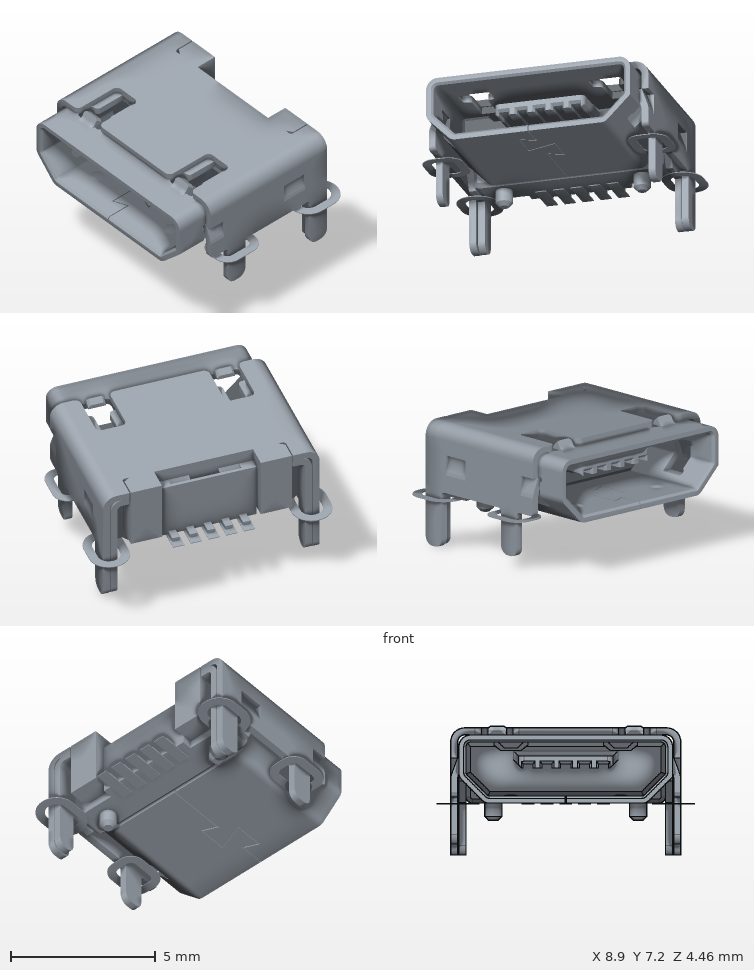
import cadquery as cq
import math


SIDES = (-1, 1)
PICK_MARGIN = 0.01

SHEET = 0.25

OUTER_HALF = 3.98
OUTER_TOP = 2.64
OUTER_FRONT = 1.2
OUTER_REAR = 6.6
OUTER_CORNER = 0.5
SKIRT_BOTTOM = 0.25
SKIRT_CORNER = 0.13
LEG_BOTTOM = -1.76
FRONT_LEG_BOTTOM = -1.37
LEG_WIDTH = 0.8
LEG_TIP_RADIUS = 0.32
LEG_ROOT_RADIUS = 0.14
FRONT_LEG_Y = 2.4

LANCE_BOTTOM = 0.89
LANCE_BEND = 1.015
LANCE_BEND_PRESS = 0.03
LANCE_TOP = 1.6
LANCE_PRESS = 0.24
REAR_LANCE_START = 4.59
REAR_LANCE_END = 5.59
FRONT_LANCE_END = 1.825

NOTCH_HALF = 1.82
NOTCH_FRONT = 5.8
LUG_BOTTOM = 0.36
SLIT_OUTER = 3.0
SLIT_WIDTH = 0.045
SLIT_TOE = 0.23
SLIT_TOE_DEPTH = 0.14

LATCH_X = 2.37
LATCH_WINDOW_WIDTH = 1.095
LATCH_WINDOW_END = 3.05
LATCH_WINDOW_CORNER = 0.2
LATCH_WINDOW_FLARE = 0.21
HOOK_WIDTH = 0.64
HOOK_TOP = 2.7
HOOK_NECK_Z = 2.53
HOOK_FRONT = 1.015
HOOK_NECK_Y = 1.25
HOOK_PEAK_Y = 1.35
HOOK_REAR = 1.55
HOOK_REAR_Z = 2.545
HOOK_CORNER = 0.08
HOOK_FOOT_SAG = 0.03
LATCH_HOLE_WIDTH = 0.59
LATCH_HOLE_FRONT = 1.21
LATCH_HOLE_STEP = 1.905
LATCH_HOLE_END = 3.115
LATCH_FOOT_WIDTH = 1.175
LATCH_FOOT_CORNER = 0.14

INNER_HALF = 3.69
INNER_TOP = OUTER_TOP - SHEET
INNER_BOTTOM = 0.04
INNER_FLOOR_HALF = 2.79
INNER_TOP_CORNER = 0.41
INNER_LOW_CORNER = 0.35
TUBE_END = 4.52
MOUTH_CHAMFER = 0.08
CAVITY_HALF = INNER_HALF - SHEET
CAVITY_TOP = INNER_TOP - SHEET
FLOOR_TOP = INNER_BOTTOM + SHEET
SIDE_BEND_Z = INNER_BOTTOM + INNER_HALF - INNER_FLOOR_HALF
CHEEK_BOTTOM = 0.05
CHEEK_START = 4.89
INNER_LEG_START = 5.91
INNER_LEG_TIP_RADIUS = 0.34

WINDOW_FRONT = 1.15
WINDOW_END = 1.96
WINDOW_BOTTOM = 0.5
WINDOW_TOP = 1.64
WINDOW_EAR = 0.1
LANCE_CLEARANCE = 0.09

SEAM_GAP = 0.04
SEAM_MIDDLE = 1.6
SEAM_HALF_WIDTH = 0.53
SEAM_TIP = 0.2
SEAM_SHOULDER = 0.89
SEAM_NECK = 0.67
DIMPLE_X = 1.9
DIMPLE_Y = 1.2
DIMPLE_RADIUS = 0.27
DIMPLE_TOP_RADIUS = 0.09
DIMPLE_HEIGHT = 0.04

BLOCK_FRONT = 3.2
INSULATOR_REAR = 6.18
INSULATOR_CHAMFER = 0.15
REAR_BLOCK_LOW_CORNER = 0.22
PEG_X = 2.5
PEG_Y = 5.16
PEG_RADIUS = 0.3
PEG_BOTTOM = -0.56
PEG_CHAMFER = 0.14

TONGUE_FRONT = 1.25
TONGUE_HALF = 1.63
TONGUE_BOTTOM = 1.25
TONGUE_TOP = 1.66
TONGUE_TIP_CORNER = 0.19
TONGUE_LOW_CHAMFER = 0.11
TONGUE_ROOT_FILLET = 0.18

CONTACT_COUNT = 5
CONTACT_PITCH = 0.65
GROOVE_WIDTH = 0.35
GROOVE_CEILING = 1.39
GROOVE_FLARE = 0.06
GROOVE_LEAD = 0.1
TAIL_WIDTH = 0.27
TAIL_TOP = 0.18
PAD_WIDTH = 0.41
PAD_START = 5.52
PAD_END = 6.89
PAD_THICKNESS = 0.03

GROOVE_X = DIMPLE_X
LOBE_HALF = 0.59
LOBE_FLAT_HALF = 0.35
LOBE_SHOULDER_Z = 2.05
LOBE_BOTTOM = 1.85
LOBE_DEPTH = 0.71
KEY_HALF = 0.44
KEY_FLAT_HALF = 0.22
KEY_BOTTOM = 1.94
KEY_DEPTH = 1.25

RECESS_HALF = 1.3
RECESS_END = 6.05
RECESS_RAMP_DEPTH = 0.13
RECESS_MIDDLE_HALF = 0.54
RECESS_MIDDLE_DEPTH = 0.31
RECESS_FILLET = 0.15

RING_X = 3.72
RING_WIDTH = 1.46
RING_WALL = 0.32
RING_THICKNESS = PAD_THICKNESS
REAR_RING_Y = 6.21
REAR_RING_LENGTH = 1.98
REAR_RING_CORNER = 0.72
FRONT_RING_LENGTH = 1.82
FRONT_RING_CORNER = 0.55


def box(x0, x1, y0, y1, z0, z1):
    """Axis-aligned block between opposite corners."""
    return cq.Workplane("XY").box(x1 - x0, y1 - y0, z1 - z0, centered=False).translate((x0, y0, z0))


def prism_y(points, y0, y1):
    """Polygon in (x, z), extruded from y0 to y1."""
    return cq.Workplane("XZ", origin=(0, y0, 0)).polyline(points).close().extrude(y0 - y1)


def prism_x(points, x0, x1):
    """Polygon in (y, z), extruded from x0 to x1."""
    return cq.Workplane("YZ", origin=(x0, 0, 0)).polyline(points).close().extrude(x1 - x0)


def prism_z(points, z0, z1):
    """Polygon in (x, y), extruded from z0 to z1."""
    return cq.Workplane("XY", origin=(0, 0, z0)).polyline(points).close().extrude(z1 - z0)


def arch(half, top, bottom, corner, y0, y1):
    """Block with its two long top edges rounded."""
    return box(-half, half, y0, y1, bottom, top).edges("|Y and >Z").fillet(corner)


def mirrored(points):
    """Copy of (x, ...) points on the other side of the YZ plane."""
    return [(-x, other) for x, other in points]


def leg(y0, y1, x0, x1, top, bottom, tip_radius):
    """Leg with a rounded tip."""
    return box(x0, x1, y0, y1, bottom, top).edges("|X and <Z").fillet(tip_radius)


def flared_leg(y0, y1, bottom):
    """Leg of the outer shell on the +X side, with rounded roots where it leaves the skirt."""
    inner = OUTER_HALF - SHEET
    flared = leg(y0, y1, inner, OUTER_HALF, SKIRT_BOTTOM, bottom, LEG_TIP_RADIUS)
    reach = LEG_ROOT_RADIUS
    for edge, direction in ((y0, -1), (y1, 1)):
        root = (
            cq.Workplane("YZ", origin=(inner, 0, 0))
            .moveTo(edge, SKIRT_BOTTOM)
            .lineTo(edge + direction * reach, SKIRT_BOTTOM)
            .radiusArc((edge, SKIRT_BOTTOM - reach), direction * -reach)
            .close()
            .extrude(SHEET)
        )
        if edge + direction * reach < OUTER_REAR:
            flared = flared.union(root)
    return flared


def lance_opening(y0, y1):
    """Hole in the +X side wall that a lance is pressed out of."""
    return box(OUTER_HALF - SHEET, OUTER_HALF, y0, y1, LANCE_BOTTOM, LANCE_TOP)


def lance(y0, y1):
    """Strip of the +X side wall that leans inward toward its free upper end."""
    inner = OUTER_HALF - SHEET
    section = [
        (OUTER_HALF, LANCE_BOTTOM),
        (OUTER_HALF - LANCE_BEND_PRESS, LANCE_BEND),
        (OUTER_HALF - LANCE_PRESS, LANCE_TOP),
        (inner - LANCE_PRESS, LANCE_TOP),
        (inner - LANCE_BEND_PRESS, LANCE_BEND),
        (inner, LANCE_BOTTOM),
    ]
    return prism_y(section, y0, y1)


def latch_window(x):
    """Roof cutout, open to the front, that the latch hook stands in."""
    half = LATCH_WINDOW_WIDTH / 2
    flare = LATCH_WINDOW_FLARE
    window = box(x - half, x + half, OUTER_FRONT - flare, LATCH_WINDOW_END, INNER_TOP, OUTER_TOP)
    window = window.edges("|Z and >Y").fillet(LATCH_WINDOW_CORNER)
    mouth = (
        cq.Workplane("XY", origin=(x, OUTER_FRONT, INNER_TOP))
        .moveTo(-half - flare, 0)
        .radiusArc((-half, flare), -flare)
        .lineTo(half, flare)
        .radiusArc((half + flare, 0), -flare)
        .close()
        .extrude(SHEET)
    )
    return window.union(mouth)


def rear_slit(side):
    """Slit with a slanted toe that parts a rear lug from the side wall."""
    inner = SLIT_OUTER - SLIT_WIDTH
    outline = [
        (SLIT_OUTER, OUTER_REAR),
        (SLIT_OUTER, NOTCH_FRONT + SLIT_TOE_DEPTH / 2),
        (SLIT_OUTER - SLIT_TOE_DEPTH / 2, NOTCH_FRONT),
        (inner - SLIT_TOE, NOTCH_FRONT),
        (inner, NOTCH_FRONT + SLIT_TOE_DEPTH),
        (inner, OUTER_REAR),
    ]
    return prism_z([(side * x, y) for x, y in outline], LUG_BOTTOM, OUTER_TOP)


def make_outer_shell():
    shell = arch(OUTER_HALF, OUTER_TOP, SKIRT_BOTTOM, OUTER_CORNER, OUTER_FRONT, OUTER_REAR)
    shell = shell.edges("|X and <Y and <Z").fillet(SKIRT_CORNER)
    shell = shell.cut(
        arch(OUTER_HALF - SHEET, INNER_TOP, SKIRT_BOTTOM, OUTER_CORNER - SHEET, OUTER_FRONT, OUTER_REAR)
    )

    side_parts = flared_leg(OUTER_REAR - LEG_WIDTH, OUTER_REAR, LEG_BOTTOM)
    front_leg_start = FRONT_LEG_Y - LEG_WIDTH / 2
    side_parts = side_parts.union(
        flared_leg(front_leg_start, front_leg_start + LEG_WIDTH, FRONT_LEG_BOTTOM)
    )
    for y0, y1 in ((OUTER_FRONT, FRONT_LANCE_END), (REAR_LANCE_START, REAR_LANCE_END)):
        opening = lance_opening(y0, y1)
        shell = shell.cut(opening).cut(opening.mirror("YZ"))
        side_parts = side_parts.union(lance(y0, y1))
    lug = box(NOTCH_HALF, SLIT_OUTER - SLIT_WIDTH, NOTCH_FRONT, OUTER_REAR, LUG_BOTTOM, INNER_TOP)

    for part in (side_parts, lug):
        shell = shell.union(part).union(part.mirror("YZ"))
    shell = shell.cut(box(-NOTCH_HALF, NOTCH_HALF, NOTCH_FRONT, OUTER_REAR, INNER_TOP, OUTER_TOP))
    for side in SIDES:
        shell = shell.cut(latch_window(side * LATCH_X)).cut(rear_slit(side))
    return shell


def sharp_mouth(y0, y1, inset):
    """Hexagonal prism of the mouth, shrunk by inset all round."""
    slope_shift = inset * math.tan(math.pi / 8)
    half = INNER_HALF - inset
    right = [
        (INNER_FLOOR_HALF - slope_shift, INNER_BOTTOM + inset),
        (half, SIDE_BEND_Z + slope_shift),
        (half, INNER_TOP - inset),
    ]
    return prism_y(right + mirrored(right)[::-1], y0, y1)


def round_mouth(y0, y1, inset):
    """Mouth prism with its corners rounded; the corner radii shrink with the inset too."""
    prism = sharp_mouth(y0, y1, inset)
    prism = prism.edges("|Y and >Z").fillet(INNER_TOP_CORNER - inset)
    low_corners = cq.selectors.BoxSelector(
        (-INNER_HALF, y0, INNER_BOTTOM), (INNER_HALF, y1, SIDE_BEND_Z + SHEET)
    )
    return prism.edges("|Y").edges(low_corners).fillet(INNER_LOW_CORNER - inset)


def latch_hook(x):
    """Ramped hook on the roof, with a concave front foot."""
    half = HOOK_WIDTH / 2
    hook = (
        cq.Workplane("YZ", origin=(x - half, 0, 0))
        .moveTo(HOOK_FRONT, INNER_TOP)
        .threePointArc(
            ((HOOK_FRONT + HOOK_NECK_Y) / 2 + HOOK_FOOT_SAG, (INNER_TOP + HOOK_NECK_Z) / 2 - HOOK_FOOT_SAG),
            (HOOK_NECK_Y, HOOK_NECK_Z),
        )
        .lineTo(HOOK_PEAK_Y, HOOK_TOP)
        .lineTo(HOOK_REAR, HOOK_REAR_Z)
        .lineTo(HOOK_REAR, INNER_TOP)
        .close()
        .extrude(HOOK_WIDTH)
    )
    ramp_middle = (x, (HOOK_PEAK_Y + HOOK_REAR) / 2, (HOOK_TOP + HOOK_REAR_Z) / 2)
    ramp = hook.faces(cq.selectors.NearestToPointSelector(ramp_middle))
    return ramp.edges("not |X").chamfer(HOOK_CORNER)


def latch_hole(x):
    """T-shaped hole through the roof, wide at the front, under the latch hook."""
    half = LATCH_HOLE_WIDTH / 2
    foot_half = LATCH_FOOT_WIDTH / 2
    stem = box(x - half, x + half, LATCH_HOLE_STEP, LATCH_HOLE_END, CAVITY_TOP, INNER_TOP)
    foot = box(x - foot_half, x + foot_half, LATCH_HOLE_FRONT, LATCH_HOLE_STEP, CAVITY_TOP, INNER_TOP)
    hole = stem.union(foot.edges("|Z").fillet(LATCH_FOOT_CORNER))
    inner_corners = cq.selectors.BoxSelector(
        (x - half - PICK_MARGIN, LATCH_HOLE_STEP - PICK_MARGIN, CAVITY_TOP),
        (x + half + PICK_MARGIN, LATCH_HOLE_STEP + PICK_MARGIN, INNER_TOP),
    )
    return hole.edges("|Z").edges(inner_corners).fillet(LATCH_FOOT_CORNER)


def seam_pieces():
    """Straight pieces of the narrow dovetail gap along the floor."""
    path = [
        (0, 0),
        (0, SEAM_MIDDLE - SEAM_NECK),
        (-SEAM_HALF_WIDTH, SEAM_MIDDLE - SEAM_SHOULDER),
        (-SEAM_HALF_WIDTH, SEAM_MIDDLE + SEAM_TIP),
        (SEAM_HALF_WIDTH, SEAM_MIDDLE - SEAM_TIP),
        (SEAM_HALF_WIDTH, SEAM_MIDDLE + SEAM_SHOULDER),
        (0, SEAM_MIDDLE + SEAM_NECK),
        (0, TUBE_END),
    ]
    pieces = []
    for (x0, y0), (x1, y1) in zip(path, path[1:]):
        length = math.hypot(x1 - x0, y1 - y0)
        angle = math.degrees(math.atan2(y1 - y0, x1 - x0))
        piece = (
            cq.Workplane("XY")
            .box(length + SEAM_GAP, SEAM_GAP, SHEET)
            .rotate((0, 0, 0), (0, 0, 1), angle)
            .translate(((x0 + x1) / 2, (y0 + y1) / 2, INNER_BOTTOM + SHEET / 2))
        )
        pieces.append(piece)
    return pieces


def lance_windows():
    """Openings through both side walls that the lances reach into."""
    window = box(-INNER_HALF, INNER_HALF, WINDOW_FRONT, WINDOW_END, WINDOW_BOTTOM, WINDOW_TOP)
    for z in (WINDOW_BOTTOM + WINDOW_EAR, WINDOW_TOP - WINDOW_EAR):
        ear = (
            cq.Workplane("YZ", origin=(-INNER_HALF, 0, 0))
            .center(WINDOW_FRONT, z)
            .circle(WINDOW_EAR)
            .extrude(2 * INNER_HALF)
        )
        window = window.union(ear)
    rear = box(
        -INNER_HALF,
        INNER_HALF,
        REAR_LANCE_START - LANCE_CLEARANCE,
        REAR_LANCE_END + LANCE_CLEARANCE,
        LANCE_BOTTOM - LANCE_CLEARANCE,
        LANCE_TOP + LANCE_CLEARANCE,
    )
    return window.union(rear)


def rear_cheeks():
    """Roof and side walls behind the mouth tube, with the inner rear legs."""
    hood = arch(INNER_HALF, INNER_TOP, CHEEK_BOTTOM, INNER_TOP_CORNER, TUBE_END, OUTER_REAR)
    hood = hood.cut(
        arch(CAVITY_HALF, CAVITY_TOP, CHEEK_BOTTOM, INNER_TOP_CORNER - SHEET, TUBE_END, OUTER_REAR)
    )
    front_slope = [(TUBE_END, CHEEK_BOTTOM), (TUBE_END, SIDE_BEND_Z), (CHEEK_START, CHEEK_BOTTOM)]
    hood = hood.cut(prism_x(front_slope, -INNER_HALF, INNER_HALF))
    hood = hood.cut(box(-SLIT_OUTER, SLIT_OUTER, NOTCH_FRONT, OUTER_REAR, CAVITY_TOP, INNER_TOP))
    rear_leg = leg(
        INNER_LEG_START, OUTER_REAR, CAVITY_HALF, INNER_HALF, CHEEK_BOTTOM, LEG_BOTTOM, INNER_LEG_TIP_RADIUS
    )
    return hood.union(rear_leg).union(rear_leg.mirror("YZ"))


def make_inner_shell():
    cavity = round_mouth(0, TUBE_END, SHEET)
    shell = round_mouth(0, TUBE_END, 0).cut(cavity)
    cavity_rim = shell.faces("<Y").val().innerWires()[0].Edges()
    shell = shell.newObject(cavity_rim).chamfer(MOUTH_CHAMFER)
    shell = shell.union(rear_cheeks()).cut(lance_windows())
    for piece in seam_pieces():
        shell = shell.cut(piece)
    for side in SIDES:
        shell = shell.cut(latch_hole(side * LATCH_X))
        dimple = cq.Solid.makeCone(
            DIMPLE_RADIUS, DIMPLE_TOP_RADIUS, DIMPLE_HEIGHT, cq.Vector(side * DIMPLE_X, DIMPLE_Y, FLOOR_TOP)
        )
        shell = shell.union(latch_hook(side * LATCH_X)).union(cq.Workplane(dimple))
    return shell


def contact_positions():
    first = -CONTACT_PITCH * (CONTACT_COUNT - 1) / 2
    return [first + i * CONTACT_PITCH for i in range(CONTACT_COUNT)]


def contact_groove(x):
    """Groove under the tongue with a flared lead-in at its tip."""
    half = GROOVE_WIDTH / 2
    groove = box(x - half, x + half, TONGUE_FRONT, BLOCK_FRONT, TONGUE_BOTTOM, GROOVE_CEILING)
    height = GROOVE_CEILING - TONGUE_BOTTOM
    lead = (
        cq.Workplane("XZ", origin=(x, TONGUE_FRONT, TONGUE_BOTTOM))
        .center(0, (height + GROOVE_LEAD) / 2)
        .rect(GROOVE_WIDTH + 2 * GROOVE_FLARE, height + GROOVE_LEAD)
        .workplane(offset=-GROOVE_LEAD)
        .center(0, -GROOVE_LEAD / 2)
        .rect(GROOVE_WIDTH, height)
        .loft()
    )
    return groove.union(lead)


def make_tongue():
    """Plain tongue, run into the block behind it."""
    tongue = box(-TONGUE_HALF, TONGUE_HALF, TONGUE_FRONT, TUBE_END, TONGUE_BOTTOM, TONGUE_TOP)
    tongue = tongue.edges("|Y and <Z").chamfer(TONGUE_LOW_CHAMFER)
    return tongue.edges("|Z and <Y").fillet(TONGUE_TIP_CORNER)


def fillet_tongue_root(body):
    """Round the top and the ends of the tongue into the face of the block."""
    root = cq.selectors.BoxSelector(
        (-TONGUE_HALF - PICK_MARGIN, BLOCK_FRONT - PICK_MARGIN, TONGUE_BOTTOM + TONGUE_LOW_CHAMFER),
        (TONGUE_HALF + PICK_MARGIN, BLOCK_FRONT + PICK_MARGIN, TONGUE_TOP + PICK_MARGIN),
    )
    return body.edges(root).fillet(TONGUE_ROOT_FILLET)


def rear_block():
    """Full-width rear body, narrowed to the notch between the shell's lugs."""
    block = arch(
        CAVITY_HALF, CAVITY_TOP, INNER_BOTTOM, INNER_TOP_CORNER - SHEET, TUBE_END, NOTCH_FRONT
    )
    block = block.edges("|Y and <Z").fillet(REAR_BLOCK_LOW_CORNER)
    block = block.faces("<Y").chamfer(INSULATOR_CHAMFER)
    return block.union(
        box(-NOTCH_HALF, NOTCH_HALF, NOTCH_FRONT, INSULATOR_REAR, INNER_BOTTOM, CAVITY_TOP)
    )


def top_groove(x, half_section, length):
    """Symmetric groove in the top of the front block, also trimming the tongue in front of it."""
    section = half_section + mirrored(half_section)[::-1]
    return prism_y(section, TONGUE_FRONT, BLOCK_FRONT + length).translate((x, 0, 0))


def rear_recess():
    """Two ramps with a deeper rounded channel between them."""
    ramps = prism_x(
        [
            (NOTCH_FRONT, CAVITY_TOP),
            (RECESS_END, CAVITY_TOP),
            (RECESS_END, CAVITY_TOP - RECESS_RAMP_DEPTH),
        ],
        -RECESS_HALF,
        RECESS_HALF,
    )
    channel = box(
        -RECESS_MIDDLE_HALF,
        RECESS_MIDDLE_HALF,
        NOTCH_FRONT,
        RECESS_END,
        CAVITY_TOP - RECESS_MIDDLE_DEPTH,
        CAVITY_TOP,
    )
    return ramps.union(channel.edges("|Y and <Z").fillet(RECESS_FILLET))


def make_peg(x):
    height = INNER_BOTTOM - PEG_BOTTOM
    peg = cq.Workplane("XY", origin=(x, PEG_Y, PEG_BOTTOM)).circle(PEG_RADIUS).extrude(height)
    return peg.faces("<Z").chamfer(PEG_CHAMFER)


def contact_tail(x):
    """Tail leaving the rear of the insulator, standing on a thin wider foot."""
    tail_half = TAIL_WIDTH / 2
    pad_half = PAD_WIDTH / 2
    tail = box(x - tail_half, x + tail_half, PAD_START, OUTER_REAR, PAD_THICKNESS, TAIL_TOP)
    return tail.union(box(x - pad_half, x + pad_half, PAD_START, PAD_END, 0, PAD_THICKNESS))


def make_insulator():
    front_block = sharp_mouth(BLOCK_FRONT, TUBE_END, SHEET).faces("<Y").chamfer(INSULATOR_CHAMFER)
    front_block = front_block.intersect(round_mouth(BLOCK_FRONT, TUBE_END, SHEET))
    body = fillet_tongue_root(front_block.union(make_tongue())).union(rear_block())
    for x in contact_positions():
        body = body.cut(contact_groove(x))
    lobe = [(LOBE_HALF, CAVITY_TOP), (LOBE_HALF, LOBE_SHOULDER_Z), (LOBE_FLAT_HALF, LOBE_BOTTOM)]
    key = [(KEY_HALF, CAVITY_TOP), (KEY_FLAT_HALF, KEY_BOTTOM)]
    for side in SIDES:
        x = side * GROOVE_X
        body = body.cut(top_groove(x, lobe, LOBE_DEPTH)).cut(top_groove(x, key, KEY_DEPTH))
        body = body.union(make_peg(side * PEG_X))
    body = body.cut(rear_recess())
    for x in contact_positions():
        body = body.union(contact_tail(x))
    return body


def make_ring(x, y, length, corner):
    """Flat ring with rounded corners, lying around a leg."""

    def plate(inset):
        blank = cq.Workplane("XY").rect(RING_WIDTH - 2 * inset, length - 2 * inset).extrude(RING_THICKNESS)
        return blank.edges("|Z").fillet(corner - inset).translate((x, y, 0))

    return plate(0).cut(plate(RING_WALL))


outer_shell = make_outer_shell()
inner_shell = make_inner_shell()
insulator = make_insulator()
rings = []
for ring_side in SIDES:
    ring_x = ring_side * RING_X
    rings.append(make_ring(ring_x, REAR_RING_Y, REAR_RING_LENGTH, REAR_RING_CORNER).val())
    rings.append(make_ring(ring_x, FRONT_LEG_Y, FRONT_RING_LENGTH, FRONT_RING_CORNER).val())

bodies = [body.solids().val() for body in (outer_shell, inner_shell, insulator)]
result = cq.Compound.makeCompound([*bodies, *rings])